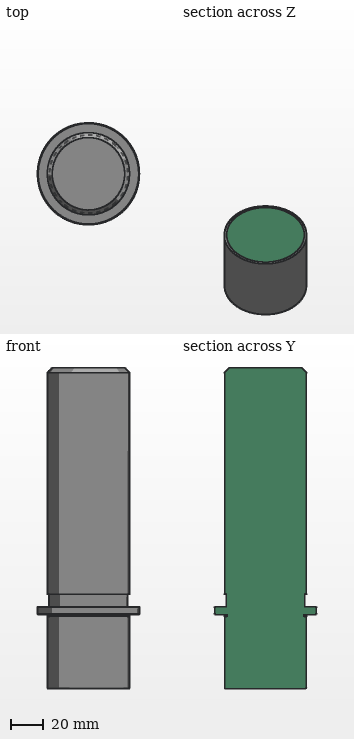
import cadquery as cq

total_height = 195.0
body_diameter = 50.0
collar_diameter = 62.0
upper_neck_diameter = 48.0
relief_diameter = 47.0

shank_height = 44.0
relief_height = 1.0
collar_thickness = 5.0
upper_neck_height = 7.5

tip_chamfer = 3.0
collar_chamfer = 0.5
base_fillet = 1.0
relief_fillet = 0.5

collar_bottom = shank_height + relief_height
collar_top = collar_bottom + collar_thickness
pin_bottom = collar_top + upper_neck_height


def cylinder(diameter, bottom, top):
    """Solid cylinder on the Z axis between two heights."""
    return cq.Workplane("XY").workplane(offset=bottom).circle(diameter / 2).extrude(top - bottom)


def make_shank():
    """Plain lower end with a rounded base edge."""
    return cylinder(body_diameter, 0, shank_height).faces("<Z").edges().fillet(base_fillet)


def make_relief_core():
    """Core of the groove under the collar, flaring out where it meets the shank."""
    relief_radius = relief_diameter / 2
    profile = (
        cq.Workplane("XZ")
        .moveTo(0, shank_height)
        .lineTo(relief_radius + relief_fillet, shank_height)
        .radiusArc((relief_radius, shank_height + relief_fillet), relief_fillet)
        .lineTo(relief_radius, collar_bottom)
        .lineTo(0, collar_bottom)
        .close()
    )
    return profile.revolve(360, (0, 0, 0), (0, 1, 0))


def make_collar():
    """Wide stop ring with both rims chamfered."""
    return cylinder(collar_diameter, collar_bottom, collar_top).edges().chamfer(collar_chamfer)


def make_upper_neck():
    """Narrow length between the collar and the pin."""
    return cylinder(upper_neck_diameter, collar_top, pin_bottom)


def make_pin():
    """Long upper end with a chamfered tip."""
    return cylinder(body_diameter, pin_bottom, total_height).faces(">Z").edges().chamfer(tip_chamfer)


result = (
    make_shank()
    .union(make_relief_core())
    .union(make_collar())
    .union(make_upper_neck())
    .union(make_pin())
)